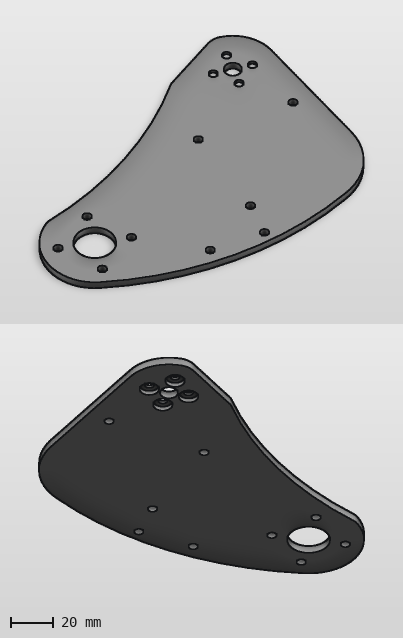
import cadquery as cq
import math

thickness = 4.0
screw_diameter = 4.4

pivot_center = (11.0, 25.9)
pivot_bore = 20.0
pivot_bolt_radius = 17.5
pivot_bolt_angle = 64
pivot_end_radius = pivot_center[1]

motor_center = (-39.2, 146.2)
motor_bore = 8.4
motor_bolt_radius = 9.5
motor_bolt_angle = 70
motor_end_radius = 21.8
motor_head_diameter = 9.0
motor_head_depth = 2.4

corner_center = (25.5, 133.0)
corner_radius = 32

left_edge_bend = (-49.2, 117.5)
left_curve_middle = (-25.0, 73.6)
right_curve_middle = (59.5, 88.9)
bend_radius = 6.7
pivot_corner_radius = 8.4
motor_corner_radius = 10.1

pivot_left_angle = 200
pivot_right_angle = 328
motor_left_angle = 169
corner_right_angle = 9

screw_points = [(-4.9, 155.1), (-12.8, 105.4), (36.3, 98.2), (54.1, 92.6), (47.7, 65.5)]


def polar(center, radius, angle):
    """Point at a given radius and direction from a center."""
    turn = math.radians(angle)
    return (center[0] + radius * math.cos(turn), center[1] + radius * math.sin(turn))


def bolt_circle(center, radius, first_angle):
    """Four evenly spaced points around a center."""
    return [polar(center, radius, first_angle + 90 * i) for i in range(4)]


def top_tangent_angle():
    """Direction of the two points where the top edge touches both corner arcs."""
    dx = corner_center[0] - motor_center[0]
    dy = corner_center[1] - motor_center[1]
    slope = math.atan2(dy, dx)
    spread = math.acos((motor_end_radius - corner_radius) / math.hypot(dx, dy))
    return math.degrees(slope + spread)


def arc_to(sketch, center, radius, start_angle, end_angle):
    """Continue the outline along an arc about a center."""
    middle = polar(center, radius, (start_angle + end_angle) / 2)
    return sketch.threePointArc(middle, polar(center, radius, end_angle))


def plate():
    top_angle = top_tangent_angle()
    outline = cq.Workplane("XY").moveTo(*polar(pivot_center, pivot_end_radius, pivot_left_angle))
    outline = arc_to(outline, pivot_center, pivot_end_radius, pivot_left_angle, pivot_right_angle)
    corner_start = polar(corner_center, corner_radius, corner_right_angle)
    outline = outline.threePointArc(right_curve_middle, corner_start)
    outline = arc_to(outline, corner_center, corner_radius, corner_right_angle, top_angle)
    outline = outline.lineTo(*polar(motor_center, motor_end_radius, top_angle))
    outline = arc_to(outline, motor_center, motor_end_radius, top_angle, motor_left_angle)
    outline = outline.lineTo(*left_edge_bend)
    pivot_start = polar(pivot_center, pivot_end_radius, pivot_left_angle)
    outline = outline.threePointArc(left_curve_middle, pivot_start).close()
    return outline.extrude(thickness)


def round_left_corners(body):
    """Soften the three vertical corners along the left side."""
    corners = [
        (polar(pivot_center, pivot_end_radius, pivot_left_angle), pivot_corner_radius),
        (polar(motor_center, motor_end_radius, motor_left_angle), motor_corner_radius),
        (left_edge_bend, bend_radius),
    ]
    for (x, y), radius in corners:
        nearest = cq.selectors.NearestToPointSelector((x, y, thickness / 2))
        body = body.edges("|Z").edges(nearest).fillet(radius)
    return body


def drill(body, points, diameter, depth=thickness):
    """Cut round holes upward from the underside, through the plate unless a depth is given."""
    cutter = cq.Workplane("XY").pushPoints(points).circle(diameter / 2).extrude(depth)
    return body.cut(cutter)


result = round_left_corners(plate())
result = drill(result, [pivot_center], pivot_bore)
result = drill(result, [motor_center], motor_bore)
result = drill(result, bolt_circle(pivot_center, pivot_bolt_radius, pivot_bolt_angle), screw_diameter)
motor_bolts = bolt_circle(motor_center, motor_bolt_radius, motor_bolt_angle)
result = drill(result, motor_bolts, screw_diameter)
result = drill(result, motor_bolts, motor_head_diameter, motor_head_depth)
result = drill(result, screw_points, screw_diameter)